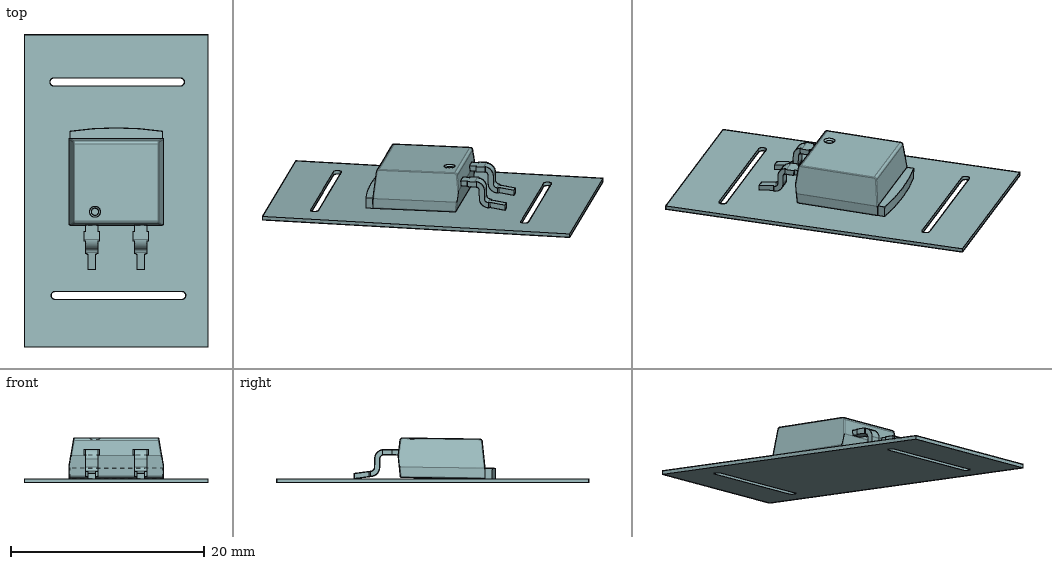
import cadquery as cq
import math

BOARD_WIDTH = 19.05
BOARD_LENGTH = 32.38
BOARD_THICKNESS = 0.4
SLOT_LENGTH = 13.92
SLOT_WIDTH = 0.8
SLOT_CENTRES = [(0.23, -10.85), (0.1, 11.27)]

TILT_ANGLE = 0.8
PIVOT_Y = 6.5

HOUSING_HEIGHT = 4.1
HOUSING_HALF_WIDTH = 4.92
HOUSING_TOP_HALF_WIDTH = 4.4
HOUSING_REAR_Y = 5.4
HOUSING_TOP_REAR_Y = 5.05
HOUSING_FRONT_Y = -3.63
HOUSING_TOP_FRONT_Y = -3.43
HOUSING_BOTTOM_FRONT_Y = -3.37
HOUSING_BREAK_Z = 2.27
END_EDGE_RADIUS = 0.3
FLANK_EDGE_RADIUS = 0.1
BOTTOM_FRONT_RADIUS = 0.2

DIMPLE_X = -2.2
DIMPLE_Y = -2.25
DIMPLE_DIAMETER = 1.13
DIMPLE_FLOOR_DIAMETER = 0.75
DIMPLE_DEPTH = 0.15

TAB_THICKNESS = 1.1
TAB_WIDTH = 9.62
TAB_CORNER_Y = 6.15

LEAD_PITCH = 5.08
LEAD_THICKNESS = 0.55
LEAD_BOTTOM_Z = 2.33
LEAD_WIDTH = 1.25
DAM_WIDTH = 1.65
DAM_START_Y = -4.27
DAM_END_Y = -5.25
FOOT_WIDTH = 0.8
FOOT_TAPER_START_Y = -6.48
FOOT_START_Y = -6.6
FOOT_END_Y = -8.15
FOOT_SLOPE = 8.5
BEND_START_Y = -5.08
BEND_INNER_RADIUS = 0.42
LOWER_BEND_Z = 1.05


def make_board():
    board = cq.Workplane("XY").box(
        BOARD_WIDTH, BOARD_LENGTH, BOARD_THICKNESS, centered=(True, True, False)
    )
    slots = (
        cq.Workplane("XY")
        .pushPoints(SLOT_CENTRES)
        .slot2D(SLOT_LENGTH, SLOT_WIDTH)
        .extrude(BOARD_THICKNESS)
    )
    return board.cut(slots)


def make_housing():
    side = (
        cq.Workplane("YZ")
        .polyline([
            (HOUSING_BOTTOM_FRONT_Y, 0),
            (HOUSING_FRONT_Y, HOUSING_BREAK_Z),
            (HOUSING_TOP_FRONT_Y, HOUSING_HEIGHT),
            (HOUSING_TOP_REAR_Y, HOUSING_HEIGHT),
            (HOUSING_REAR_Y, TAB_THICKNESS),
            (HOUSING_REAR_Y, 0),
        ])
        .close()
        .extrude(HOUSING_HALF_WIDTH, both=True)
    )
    end = (
        cq.Workplane("XZ", origin=(0, HOUSING_REAR_Y, 0))
        .polyline([
            (-HOUSING_HALF_WIDTH, 0),
            (-HOUSING_HALF_WIDTH, TAB_THICKNESS),
            (-HOUSING_TOP_HALF_WIDTH, HOUSING_HEIGHT),
            (HOUSING_TOP_HALF_WIDTH, HOUSING_HEIGHT),
            (HOUSING_HALF_WIDTH, TAB_THICKNESS),
            (HOUSING_HALF_WIDTH, 0),
        ])
        .close()
        .extrude(HOUSING_REAR_Y - HOUSING_FRONT_Y)
    )
    body = side.intersect(end)
    body = body.faces(">Z").edges("|X").fillet(END_EDGE_RADIUS)
    body = body.faces(">Z").edges("|Y").fillet(FLANK_EDGE_RADIUS)
    body = body.faces("<Z").edges("<Y").fillet(BOTTOM_FRONT_RADIUS)
    body = body.faces("<Z").edges("|Y").fillet(FLANK_EDGE_RADIUS)
    return body.cut(make_dimple())


def make_dimple():
    return (
        cq.Workplane("XY", origin=(DIMPLE_X, DIMPLE_Y, HOUSING_HEIGHT - DIMPLE_DEPTH))
        .circle(DIMPLE_FLOOR_DIAMETER / 2)
        .workplane(offset=DIMPLE_DEPTH)
        .circle(DIMPLE_DIAMETER / 2)
        .loft()
    )


def make_tab():
    half_width = TAB_WIDTH / 2
    return (
        cq.Workplane("XY")
        .moveTo(-half_width, HOUSING_REAR_Y)
        .lineTo(-half_width, TAB_CORNER_Y)
        .threePointArc((0, PIVOT_Y), (half_width, TAB_CORNER_Y))
        .lineTo(half_width, HOUSING_REAR_Y)
        .close()
        .extrude(TAB_THICKNESS)
    )


def lead_side_profile():
    """S-bent strip in the YZ plane, from behind the housing's front face to the sloping foot."""
    inner = BEND_INNER_RADIUS
    outer = inner + LEAD_THICKNESS
    slope = math.radians(FOOT_SLOPE)
    lead_top = LEAD_BOTTOM_Z + LEAD_THICKNESS
    upper_y = BEND_START_Y
    upper_z = LEAD_BOTTOM_Z - inner
    lower_y = BEND_START_Y - outer - inner

    def upper(radius, angle):
        return (upper_y - radius * math.sin(angle), upper_z + radius * math.cos(angle))

    def lower(radius, angle):
        return (lower_y + radius * math.cos(angle), LOWER_BEND_Z - radius * math.sin(angle))

    def foot_end(radius):
        y, z = lower(radius, sweep)
        return (FOOT_END_Y, z - (y - FOOT_END_Y) * math.tan(slope))

    quarter = math.pi / 2
    sweep = quarter - slope
    return (
        cq.Workplane("YZ")
        .moveTo(HOUSING_TOP_FRONT_Y, lead_top)
        .lineTo(upper_y, lead_top)
        .threePointArc(upper(outer, quarter / 2), upper(outer, quarter))
        .lineTo(*lower(inner, 0))
        .threePointArc(lower(inner, sweep / 2), lower(inner, sweep))
        .lineTo(*foot_end(inner))
        .lineTo(*foot_end(outer))
        .lineTo(*lower(outer, sweep))
        .threePointArc(lower(outer, sweep / 2), lower(outer, 0))
        .lineTo(*upper(inner, quarter))
        .threePointArc(upper(inner, quarter / 2), upper(inner, 0))
        .lineTo(HOUSING_TOP_FRONT_Y, LEAD_BOTTOM_Z)
        .close()
    )


def lead_plan():
    """Outline of the flat widths: neck, dam-bar stub, shank and narrow foot."""
    right_edge = [
        (LEAD_WIDTH / 2, HOUSING_TOP_FRONT_Y),
        (LEAD_WIDTH / 2, DAM_START_Y),
        (DAM_WIDTH / 2, DAM_START_Y),
        (DAM_WIDTH / 2, DAM_END_Y),
        (LEAD_WIDTH / 2, DAM_END_Y),
        (LEAD_WIDTH / 2, FOOT_TAPER_START_Y),
        (FOOT_WIDTH / 2, FOOT_START_Y),
        (FOOT_WIDTH / 2, FOOT_END_Y),
    ]
    left_edge = [(-x, y) for x, y in reversed(right_edge)]
    return cq.Workplane("XY").polyline(right_edge + left_edge).close()


def make_lead(x, housing):
    strip = lead_side_profile().extrude(DAM_WIDTH / 2, both=True)
    lead = strip.intersect(lead_plan().extrude(HOUSING_HEIGHT, both=True))
    return lead.translate((x, 0, 0)).cut(housing)


def seat_on_board(body):
    return body.translate((0, 0, BOARD_THICKNESS)).rotate(
        (0, PIVOT_Y, BOARD_THICKNESS), (1, PIVOT_Y, BOARD_THICKNESS), -TILT_ANGLE
    )


board = make_board()
housing = make_housing()
tab = make_tab()
leads = [make_lead(side * LEAD_PITCH / 2, housing) for side in (-1, 1)]

package = [seat_on_board(body).val() for body in [housing, tab, *leads]]
result = cq.Compound.makeCompound([board.val(), *package])